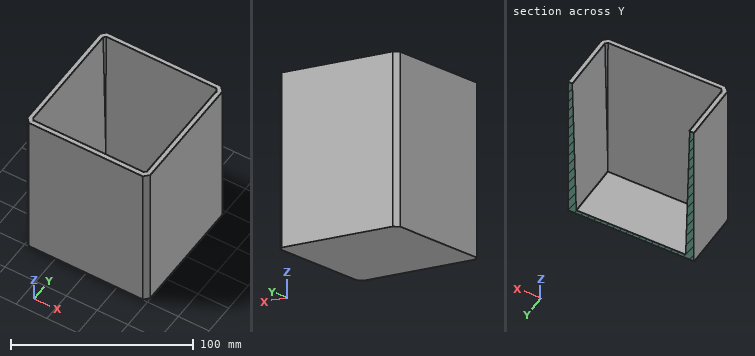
import cadquery as cq
import math

width = 80.0
height = 100.0
corner_chamfer = 3.0

wall = 3.0
floor_thickness = 3.0
draft_angle = 1.5

cavity_width = width - 2 * wall
cavity_depth = height - floor_thickness

outer_across_corners = (width - corner_chamfer) * math.sqrt(2)
cavity_across_corners = outer_across_corners - 2 * wall


def tapered_square(across_flats, turn):
    """Drafted square plug reaching from the rim down to the cavity floor."""
    return (
        cq.Workplane("XY")
        .workplane(offset=height)
        .transformed(rotate=(0, 0, turn))
        .rect(across_flats, across_flats)
        .extrude(-cavity_depth, taper=draft_angle)
    )


body = cq.Workplane("XY").rect(width, width).extrude(height)
body = body.edges("|Z").chamfer(corner_chamfer)

cavity = tapered_square(cavity_width, 0).intersect(tapered_square(cavity_across_corners, 45))

result = body.cut(cavity)